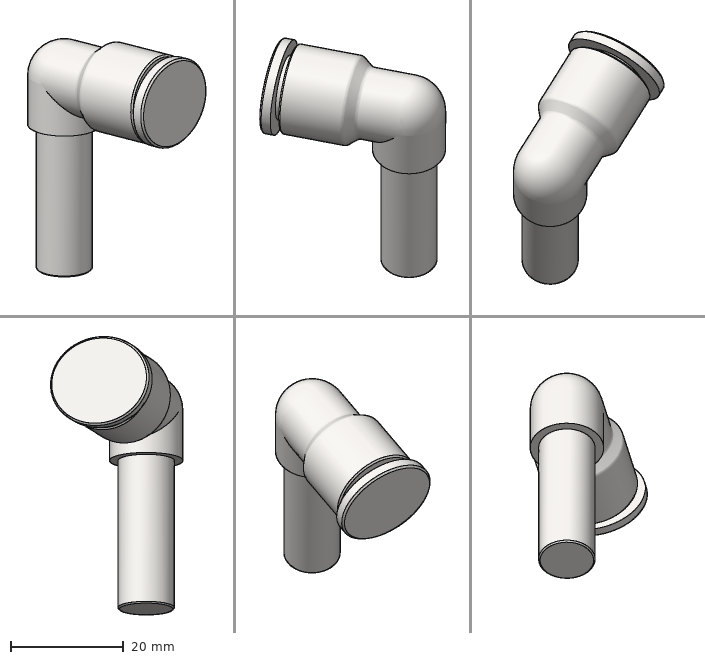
import cadquery as cq

overall_length_x = 31.5
overall_height_z = 44.3

elbow_radius = 6.5
elbow_drop = 9.15

stem_radius = 5.0
stem_chamfer = 0.25

body_radius = 8.15
cone_start = 7.97
cone_end = 10.05
cone_blend_radius = 0.9
body_end = 21.8
body_end_chamfer = 0.3

sleeve_radius = 5.85
collar_half_width = 9.25
collar_half_height = 8.05
collar_thickness = 2.05
collar_chamfer = 0.35

collar_end = overall_length_x - elbow_radius
collar_start = collar_end - collar_thickness
stem_end = overall_height_z - body_radius


def make_elbow():
    """Spherical corner with the socket that holds the stem."""
    corner = cq.Workplane("XY").sphere(elbow_radius)
    socket = cq.Workplane("XY").circle(elbow_radius).extrude(-elbow_drop)
    return corner.union(socket)


def make_stem():
    """Plain round plug with a chamfered tip."""
    stem = cq.Workplane("XY").circle(stem_radius).extrude(-stem_end)
    return stem.faces("<Z").chamfer(stem_chamfer)


def make_port_body():
    """Neck that flares through a blended cone to the full body diameter."""
    profile = (
        cq.Workplane("XZ")
        .lineTo(0, elbow_radius)
        .lineTo(cone_start, elbow_radius)
        .lineTo(cone_end, body_radius)
        .lineTo(body_end, body_radius)
        .lineTo(body_end, 0)
        .close()
    )
    body = profile.revolve(360, (0, 0, 0), (1, 0, 0))
    body = body.faces(">X").chamfer(body_end_chamfer)
    margin = cone_blend_radius / 2
    around_cone = cq.selectors.BoxSelector(
        (cone_start - margin, -body_radius, -body_radius),
        (cone_end + margin, body_radius, body_radius),
    )
    return body.edges("%CIRCLE").edges(around_cone).fillet(cone_blend_radius)


def make_collar():
    """Round sleeve carrying an oval flange that is wider along Y."""
    sleeve = cq.Workplane("YZ").circle(sleeve_radius).extrude(collar_start)
    flange = (
        cq.Workplane("YZ", origin=(collar_start, 0, 0))
        .ellipse(collar_half_width, collar_half_height)
        .extrude(collar_thickness)
        .faces(">X")
        .chamfer(collar_chamfer)
    )
    return sleeve.union(flange)


result = make_elbow().union(make_port_body()).union(make_stem()).union(make_collar())